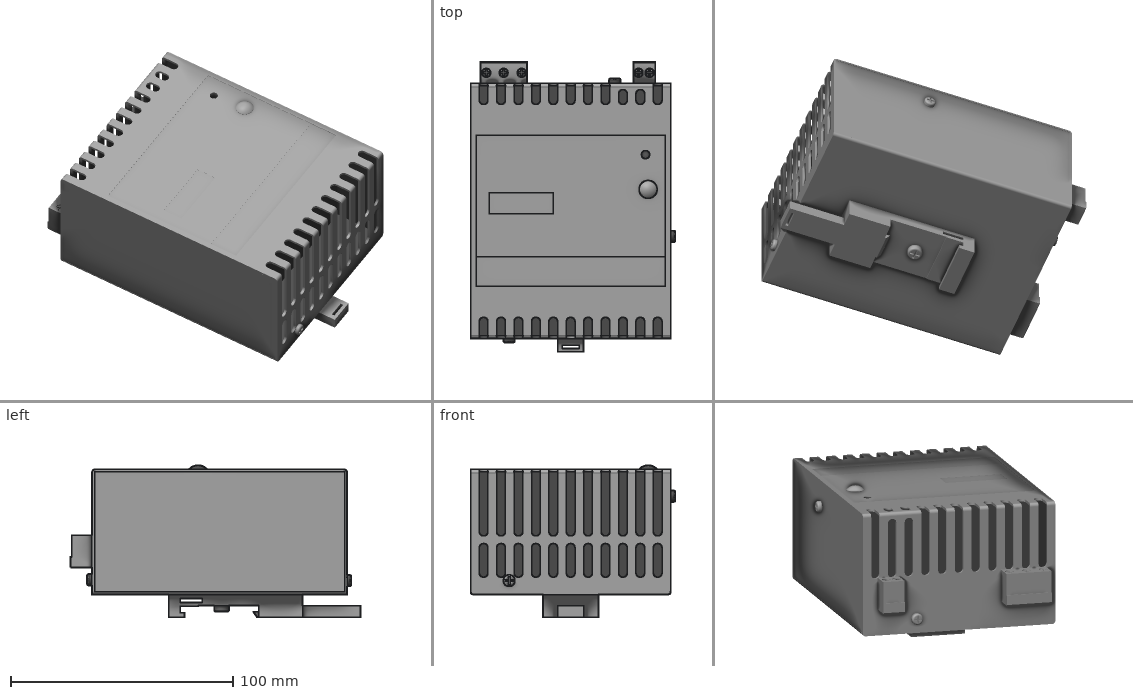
import cadquery as cq

CASE_X = 90.0
CASE_Y = 114.8
CASE_Z = 56.3
SHEET = 1.2
TOP_BEND = 1.5
BOTTOM_BEND = 1.3
SIDE_RECESS = 0.1
FRONT = -CASE_Y / 2
REAR = CASE_Y / 2
SIDE = CASE_X / 2

CORE_Y = 67.8

SLOT_COUNT = 11
SLOT_PITCH = 7.8
SLOT_WIDTH = 3.9
SLOT_RUN_ON_TOP = 9.5
UPPER_SLOT_BOTTOM = 26.3
LOWER_SLOT_BOTTOM = 7.8
LOWER_SLOT_TOP = 23.0
SHORT_SLOTS = (8, 9)
SHORT_SLOT_EDGE_GAP = 2.9

LABEL_X = 85.0
LABEL_Y = 67.8
LABEL_DEPTH = 0.1
BAND_Y = 13.3
BAND_DEPTH = 0.2
PLAQUE_X = 28.7
PLAQUE_Y = 9.4
PLAQUE_CENTRE = (-22.2, 3.4)

HOLE_CENTRE = (33.7, 25.3)
HOLE_DIAMETER = 3.7
HOLE_DEPTH = 3.9
DOME_CENTRE = (34.8, 9.7)
DOME_RADIUS = 4.0
DOME_HEIGHT = 1.8

SCREW_RADIUS = 2.6
FRONT_SCREW_HEIGHT = 1.8
REAR_SCREW_HEIGHT = 2.2
SIDE_SCREW_HEIGHT = 2.1
SCREW_ROUNDING = 0.9
SHANK_RADIUS = 1.5
CROSS_WIDTH = 0.8
CROSS_DEPTH = 0.9
CROSS_SPAN_RATIO = 1.4
FRONT_SCREW = (-27.7, FRONT, 6.3)
REAR_SCREW = (19.8, REAR, 6.7)
SIDE_SCREW = (SIDE, -11.5, 44.2)

TERMINAL_BOTTOM = 12.1
TERMINAL_TOP = 26.7
TERMINAL_REACH = 9.7
TERMINAL_LEDGE = 0.5
TERMINAL_LEDGE_TOP = 17.0
TERMINAL_CHAMFER = 0.4
TERMINAL_SCREW_Y = 62.1
TERMINAL_SCREW_RADIUS = 2.0
TERMINAL_SCREW_RECESS = 0.4
TERMINAL_CROSS_SPAN = 2.9
WIDE_TERMINAL = (-40.5, -19.5, (-38.0, -30.1, -22.0))
NARROW_TERMINAL = (28.2, 38.1, (30.5, 35.5))

CLIP_X = 25.0
CLIP_FRONT = -37.3
CLIP_REAR = 23.0
CLIP_BOTTOM = -10.3
RAIL_HALF_WIDTH = 17.6
RAIL_ROOF = -5.0
REAR_HOOK = 2.0
REAR_HOOK_TOP = -8.1
SPRING_SLOT_Y = 9.8
SPRING_SLOT_TOP = -1.8
SPRING_SLOT_BOTTOM = -3.5
SPRING_LIP_Y = 8.1
SPRING_LIP_DEPTH = 0.4
CLIP_SCREW_Y = -0.9
CLIP_SCREW_RADIUS = 3.4
CLIP_SCREW_HEIGHT = 2.7

TAB_X = 11.7
TAB_HOOK = 2.5
TAB_HOOK_FOOT = 0.7
TAB_HOOK_TOP = -7.7
TAB_END = -63.4
TAB_SLOT_X = 7.5
TAB_SLOT_Y = 1.3
TAB_SLOT_CENTRE_Y = -61.2


def block(x0, x1, y0, y1, z0, z1):
    """Box given by its limits on each axis."""
    return cq.Workplane("XY").box(x1 - x0, y1 - y0, z1 - z0, centered=False).translate((x0, y0, z0))


def recess(size_x, size_y, centre, depth):
    """Rectangular cutter sunk into the top of the case."""
    return cq.Workplane("XY", origin=(*centre, CASE_Z - depth)).rect(size_x, size_y).extrude(depth)


def case():
    body = cq.Workplane("XY").box(CASE_X, CASE_Y, CASE_Z, centered=(True, True, False))
    body = body.edges("|X and >Z").fillet(TOP_BEND)
    body = body.edges("|Y and <Z").fillet(BOTTOM_BEND)
    air_y = (CASE_Y - CORE_Y) / 2 - SHEET
    inner_x = SIDE - SHEET
    for y0 in (FRONT + SHEET, CORE_Y / 2):
        body = body.cut(block(-inner_x, inner_x, y0, y0 + air_y, SHEET, CASE_Z - SHEET))
    panel_y = REAR - SHEET
    for x0 in (-SIDE, SIDE - SIDE_RECESS):
        body = body.cut(block(x0, x0 + SIDE_RECESS, -panel_y, panel_y, BOTTOM_BEND, CASE_Z - SHEET))
    return body


def wall_slot(x, wall_y, z0, z1):
    """Cutter for a round-ended upright slot through a wall of the case."""
    plane = cq.Workplane("XZ", origin=(x, wall_y + SHEET, (z0 + z1) / 2))
    return plane.slot2D(z1 - z0, SLOT_WIDTH, 90).extrude(2 * SHEET)


def top_slot(x, y0, y1):
    """Cutter for a round-ended slot through the top of the case, along Y."""
    plane = cq.Workplane("XY", origin=(x, (y0 + y1) / 2, CASE_Z - SHEET))
    return plane.slot2D(y1 - y0, SLOT_WIDTH, 90).extrude(2 * SHEET)


def cut_slots(body):
    above = CASE_Z + SLOT_WIDTH
    beyond = REAR + SLOT_WIDTH
    slot_end = REAR - SLOT_RUN_ON_TOP
    for i in range(SLOT_COUNT):
        x = (i - (SLOT_COUNT - 1) / 2) * SLOT_PITCH
        body = body.cut(top_slot(x, -beyond, -slot_end))
        body = body.cut(wall_slot(x, FRONT, UPPER_SLOT_BOTTOM, above))
        body = body.cut(wall_slot(x, FRONT, LOWER_SLOT_BOTTOM, LOWER_SLOT_TOP))
        if i in SHORT_SLOTS:
            body = body.cut(top_slot(x, slot_end, REAR - SHORT_SLOT_EDGE_GAP))
            body = body.cut(wall_slot(x, REAR, UPPER_SLOT_BOTTOM, CASE_Z - SHORT_SLOT_EDGE_GAP))
        else:
            body = body.cut(top_slot(x, slot_end, beyond))
            body = body.cut(wall_slot(x, REAR, UPPER_SLOT_BOTTOM, above))
    return body


def cut_label(body):
    band_centre = (0, (BAND_Y - LABEL_Y) / 2)
    body = body.cut(recess(LABEL_X, LABEL_Y, (0, 0), LABEL_DEPTH))
    body = body.cut(recess(LABEL_X, BAND_Y, band_centre, BAND_DEPTH))
    return body.cut(recess(PLAQUE_X, PLAQUE_Y, PLAQUE_CENTRE, BAND_DEPTH))


def cut_indicator_hole(body):
    plane = cq.Workplane("XY", origin=(*HOLE_CENTRE, CASE_Z - HOLE_DEPTH))
    return body.cut(plane.circle(HOLE_DIAMETER / 2).extrude(HOLE_DEPTH))


def dome():
    """Spherical cap, with a short root set into the core."""
    sphere_radius = (DOME_RADIUS**2 + DOME_HEIGHT**2) / (2 * DOME_HEIGHT)
    cap = (
        cq.Workplane("XZ")
        .moveTo(0, -SHEET)
        .lineTo(DOME_RADIUS, -SHEET)
        .lineTo(DOME_RADIUS, 0)
        .radiusArc((0, DOME_HEIGHT), -sphere_radius)
        .close()
        .revolve(360, (0, 0, 0), (0, 1, 0))
    )
    return cap.translate((*DOME_CENTRE, CASE_Z))


def cross_cutter(span, depth):
    """Two crossed bars centred on Z, filling from Z = -depth up to Z = 0."""
    bar = cq.Workplane("XY").box(span, CROSS_WIDTH, depth).translate((0, 0, -depth / 2))
    return bar.union(bar.rotate((0, 0, 0), (0, 0, 1), 90))


def pan_head(radius, height):
    """Cross-recessed screw head standing on Z = 0, with a short shank below."""
    head = cq.Workplane("XY").circle(radius).extrude(height)
    head = head.faces(">Z").edges().fillet(SCREW_ROUNDING)
    head = head.cut(cross_cutter(CROSS_SPAN_RATIO * radius, CROSS_DEPTH).translate((0, 0, height)))
    return head.union(cq.Workplane("XY").circle(SHANK_RADIUS).extrude(-SHEET))


def add_case_screws(body):
    front_head = pan_head(SCREW_RADIUS, FRONT_SCREW_HEIGHT)
    rear_head = pan_head(SCREW_RADIUS, REAR_SCREW_HEIGHT)
    side_head = pan_head(SCREW_RADIUS, SIDE_SCREW_HEIGHT)
    x_axis = (1, 0, 0)
    y_axis = (0, 1, 0)
    origin = (0, 0, 0)
    body = body.union(front_head.rotate(origin, x_axis, 90).translate(FRONT_SCREW))
    body = body.union(rear_head.rotate(origin, x_axis, -90).translate(REAR_SCREW))
    return body.union(side_head.rotate(origin, y_axis, 90).translate(SIDE_SCREW))


def terminal(x0, x1, screws):
    """Terminal block with a ledge at its foot and recessed screws on top."""
    end = REAR + TERMINAL_REACH
    body = block(x0, x1, REAR, end, TERMINAL_BOTTOM, TERMINAL_TOP)
    body = body.edges("|X and >Y and <Z").chamfer(TERMINAL_CHAMFER)
    body = body.cut(block(x0, x1, end - TERMINAL_LEDGE, end, TERMINAL_LEDGE_TOP, TERMINAL_TOP))
    floor = TERMINAL_TOP - TERMINAL_SCREW_RECESS
    for x in screws:
        plane = cq.Workplane("XY", origin=(x, TERMINAL_SCREW_Y, floor))
        body = body.cut(plane.circle(TERMINAL_SCREW_RADIUS).extrude(TERMINAL_SCREW_RECESS))
        cross = cross_cutter(TERMINAL_CROSS_SPAN, CROSS_DEPTH)
        body = body.cut(cross.translate((x, TERMINAL_SCREW_Y, floor)))
    return body


def rail_clip():
    profile = [
        (CLIP_REAR, SHEET / 2),
        (CLIP_REAR, CLIP_BOTTOM),
        (RAIL_HALF_WIDTH - REAR_HOOK, CLIP_BOTTOM),
        (RAIL_HALF_WIDTH - REAR_HOOK, REAR_HOOK_TOP),
        (RAIL_HALF_WIDTH, REAR_HOOK_TOP),
        (RAIL_HALF_WIDTH, RAIL_ROOF),
        (-RAIL_HALF_WIDTH, RAIL_ROOF),
        (-RAIL_HALF_WIDTH, CLIP_BOTTOM),
        (CLIP_FRONT, CLIP_BOTTOM),
        (CLIP_FRONT, SHEET / 2),
    ]
    half_x = CLIP_X / 2
    body = cq.Workplane("YZ").polyline(profile).close().extrude(half_x, both=True)
    slot_front = RAIL_HALF_WIDTH - SPRING_SLOT_Y
    body = body.cut(
        block(-half_x, half_x, slot_front, RAIL_HALF_WIDTH, SPRING_SLOT_BOTTOM, SPRING_SLOT_TOP)
    )
    lip_front = RAIL_HALF_WIDTH - SPRING_LIP_Y
    lip_bottom = RAIL_ROOF - SPRING_LIP_DEPTH
    body = body.union(block(-half_x, half_x, lip_front, RAIL_HALF_WIDTH, lip_bottom, RAIL_ROOF))
    head = pan_head(CLIP_SCREW_RADIUS, CLIP_SCREW_HEIGHT).rotate((0, 0, 0), (1, 0, 0), 180)
    return body.union(head.translate((0, CLIP_SCREW_Y, RAIL_ROOF)))


def release_tab():
    profile = [
        (TAB_END, RAIL_ROOF),
        (CLIP_FRONT, RAIL_ROOF),
        (CLIP_FRONT, TAB_HOOK_TOP),
        (TAB_HOOK - RAIL_HALF_WIDTH, TAB_HOOK_TOP),
        (TAB_HOOK_FOOT - RAIL_HALF_WIDTH, CLIP_BOTTOM),
        (TAB_END, CLIP_BOTTOM),
    ]
    body = cq.Workplane("YZ").polyline(profile).close().extrude(TAB_X / 2, both=True)
    plane = cq.Workplane("XY", origin=(0, TAB_SLOT_CENTRE_Y, CLIP_BOTTOM))
    return body.cut(plane.rect(TAB_SLOT_X, TAB_SLOT_Y).extrude(RAIL_ROOF - CLIP_BOTTOM))


result = cut_indicator_hole(cut_label(cut_slots(case())))
result = add_case_screws(result)
for part in (dome(), terminal(*WIDE_TERMINAL), terminal(*NARROW_TERMINAL), rail_clip(), release_tab()):
    result = result.union(part)